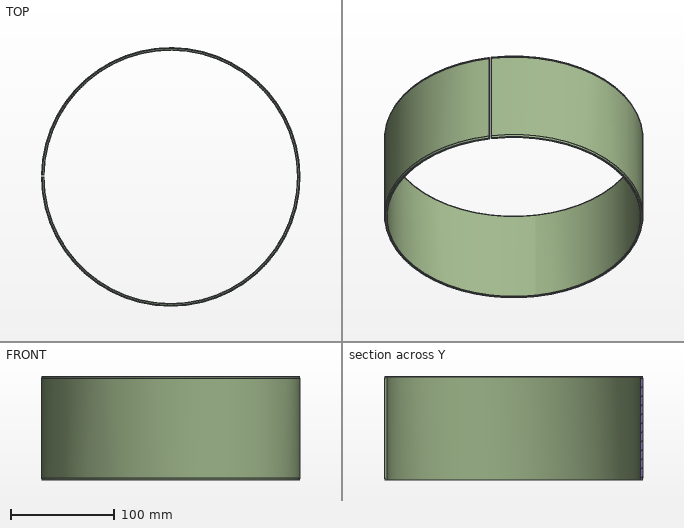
import cadquery as cq

outer_radius = 125.0
wall = 2.5
height = 100.0
chamfer_height = 2.0
chamfer_depth = 0.72
bore_chamfer = 0.35
slit_width = 2.0

inner_radius = outer_radius - wall
half_height = height / 2


def make_sleeve():
    """Revolve the wall section, chamfered inside and outside at both rims."""
    rim_radius = outer_radius - chamfer_depth
    chamfer_start = half_height - chamfer_height
    mouth_radius = inner_radius + bore_chamfer
    bore_start = half_height - bore_chamfer
    section = (
        cq.Workplane("XZ")
        .moveTo(inner_radius, -bore_start)
        .lineTo(mouth_radius, -half_height)
        .lineTo(rim_radius, -half_height)
        .lineTo(outer_radius, -chamfer_start)
        .lineTo(outer_radius, chamfer_start)
        .lineTo(rim_radius, half_height)
        .lineTo(mouth_radius, half_height)
        .lineTo(inner_radius, bore_start)
        .close()
    )
    return section.revolve(360, (0, 0, 0), (0, 1, 0))


def make_slit():
    """Full-height cutter on the -X side, with one face on the XZ plane."""
    return cq.Workplane("XY").box(
        2 * outer_radius, slit_width, height, centered=(False, False, True)
    ).translate((-2 * outer_radius, 0, 0))


result = make_sleeve().cut(make_slit())